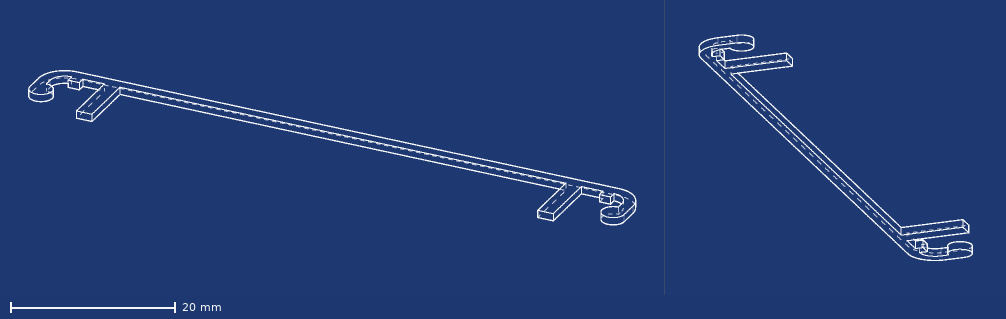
import cadquery as cq
import math

length = 80.0
thickness = 1.0

wall = 1.5
half_length = length / 2

outer_bend_radius = 3.5
inner_bend_radius = outer_bend_radius - wall
bead_radius = 1.5
bead_center_x = half_length - bead_radius
bead_center_y = -6.0

leg_span = 60.0
leg_width = 2.1
leg_tip_y = -9.5

tab_width = 1.5
tab_height = 1.0
tab_outer_x = half_length - outer_bend_radius


def rectangle(x_min, x_max, y_min, y_max):
    """Flat block of the part's thickness between the given limits."""
    return cq.Workplane("XY").box(
        x_max - x_min, y_max - y_min, thickness, centered=False
    ).translate((x_min, y_min, 0))


def hook():
    """Quarter-round bend and straight arm at the +X end."""
    bend_center_x = half_length - outer_bend_radius
    bend_center_y = -outer_bend_radius
    diagonal = math.sqrt(0.5)
    outer_mid = (
        bend_center_x + outer_bend_radius * diagonal,
        bend_center_y + outer_bend_radius * diagonal,
    )
    inner_mid = (
        bend_center_x + inner_bend_radius * diagonal,
        bend_center_y + inner_bend_radius * diagonal,
    )
    return (
        cq.Workplane("XY")
        .moveTo(bend_center_x, 0)
        .threePointArc(outer_mid, (half_length, bend_center_y))
        .lineTo(half_length, bead_center_y)
        .lineTo(half_length - wall, bead_center_y)
        .lineTo(half_length - wall, bend_center_y)
        .threePointArc(inner_mid, (bend_center_x, -wall))
        .close()
        .extrude(thickness)
    )


def bead():
    """Round bead at the tip of the hook, flush with the arm's outer side."""
    return cq.Workplane("XY").center(bead_center_x, bead_center_y).circle(bead_radius).extrude(thickness)


def leg():
    """Straight leg reaching from the strip to the front limit of the part."""
    inner_x = leg_span / 2
    return rectangle(inner_x, inner_x + leg_width, leg_tip_y, 0)


def tab():
    """Short tab under the strip where the bend begins."""
    return rectangle(tab_outer_x - tab_width, tab_outer_x, -wall - tab_height, 0)


def half_profile():
    """Everything on the +X side of the symmetry plane."""
    strip = rectangle(0, half_length - outer_bend_radius, -wall, 0)
    return strip.union(hook()).union(bead()).union(leg()).union(tab())


right_half = half_profile()
result = right_half.union(right_half.mirror("YZ")).clean()